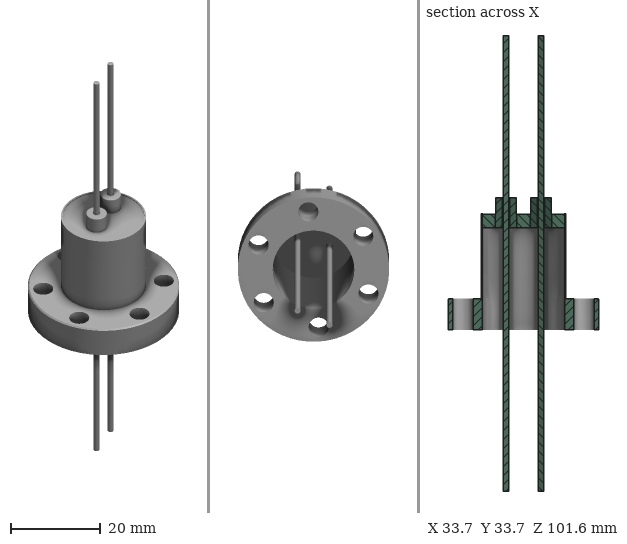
import cadquery as cq

flange_dia = 33.7
flange_thickness = 7.0
flange_chamfer = 0.3
bolt_circle_dia = 27.0
bolt_hole_dia = 4.5
bolt_count = 6
first_bolt_angle = 90

tube_dia = 19.0
tube_wall = 0.4
neck_top = 12.5
shell_top = 26.0
disc_recess = 0.2
disc_thickness = 3.0

feedthrough_spacing = 7.8
sleeve_dia = 4.7
sleeve_top = 29.6
sleeve_fillet = 0.2
sleeve_bore_dia = 1.5
pin_dia = 1.3
pin_length = 101.6
pin_bottom = -36.0

bore_dia = tube_dia - 2 * tube_wall
disc_top = shell_top - disc_recess
disc_bottom = disc_top - disc_thickness
pin_top = pin_bottom + pin_length
feedthrough_positions = [feedthrough_spacing / 2, -feedthrough_spacing / 2]


def cylinder(diameter, bottom, top, y=0):
    """Vertical cylinder whose axis passes through x = 0 and the given y."""
    return cq.Workplane("XY", origin=(0, y, bottom)).circle(diameter / 2).extrude(top - bottom)


def make_tube(bottom, top):
    return cylinder(tube_dia, bottom, top).cut(cylinder(bore_dia, bottom, top))


def make_flange():
    plate = cylinder(flange_dia, 0, flange_thickness).faces(">Z").edges().chamfer(flange_chamfer)
    bolt_holes = (
        cq.Workplane("XY")
        .polarArray(bolt_circle_dia / 2, first_bolt_angle, 360, bolt_count)
        .circle(bolt_hole_dia / 2)
        .extrude(flange_thickness)
    )
    return plate.cut(bolt_holes).cut(cylinder(bore_dia, 0, flange_thickness))


def make_disc():
    disc = cylinder(bore_dia, disc_bottom, disc_top)
    for y in feedthrough_positions:
        disc = disc.cut(cylinder(sleeve_dia, disc_bottom, disc_top, y))
    return disc


def make_sleeve(y):
    blank = cylinder(sleeve_dia, disc_bottom, sleeve_top, y).faces(">Z").edges().fillet(sleeve_fillet)
    return blank.cut(cylinder(sleeve_bore_dia, disc_bottom, sleeve_top, y))


def make_pin(y):
    return cylinder(pin_dia, pin_bottom, pin_top, y)


flange = make_flange()
neck = make_tube(flange_thickness, neck_top)
shell = make_tube(neck_top, shell_top)
disc = make_disc()
sleeves = [make_sleeve(y) for y in feedthrough_positions]
pins = [make_pin(y) for y in feedthrough_positions]

bodies = [flange, neck, shell, disc, *sleeves, *pins]
result = cq.Compound.makeCompound([body.val() for body in bodies])